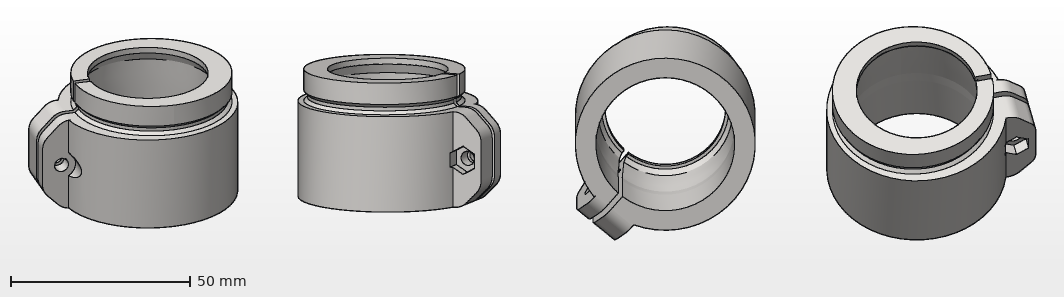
import cadquery as cq

body_diameter = 50.2
body_radius = body_diameter / 2
body_height = 27.1
total_height = 36.1
overall_length = 57.25

collar_offset = 1.05
collar_radius = 22.5
collar_bottom = 30.0
neck_radius = 21.5
neck_top = 29.05
neck_bottom = 28.0

lip_radius = 16.85
lip_bottom = 34.35
undercut_bottom = 31.6
undercut_top_radius = 17.75
undercut_bottom_radius = 18.8
socket_bottom = 18.3
socket_radius = 19.45
step_bottom = 15.0
lower_radius = 19.35

lug_left = -8.55
lug_right = 5.1
lug_front = body_radius - overall_length
lug_back = -lip_radius
lug_chamfer = 6.0
lug_fillet = 5.0
slit_width = 1.55

screw_y = -26.6
screw_z = body_height / 2
screw_hole_diameter = 4.0
nut_width = 6.9
nut_depth = 3.3
head_diameter = 8.15


def make_collar():
    """Revolved collar with a tapered groove under it."""
    profile = [
        (0, 0),
        (collar_radius, 0),
        (collar_radius, body_height),
        (neck_radius, neck_bottom),
        (neck_radius, neck_top),
        (collar_radius, collar_bottom),
        (collar_radius, total_height),
        (0, total_height),
    ]
    collar = cq.Workplane("XZ").polyline(profile).close().revolve()
    return collar.translate((0, collar_offset, 0))


def make_lug_block():
    """Square block filling the full width of both lugs."""
    width = lug_right - lug_left
    return (
        cq.Workplane("XY", origin=(lug_left, lug_front, 0))
        .box(width, lug_back - lug_front, body_height, centered=False)
    )


def make_lugs():
    """Lug block with its outer corners chamfered, then rounded."""
    block = make_lug_block().faces("<Y").edges("|X").chamfer(lug_chamfer)
    front_face_edges = block.faces("<Y").edges("|X")
    slope_end_edges = block.faces(">Z or <Z").edges("|X").edges("<Y")
    return front_face_edges.add(slope_end_edges).fillet(lug_fillet)


def make_bore():
    """Stepped bore revolved about the body axis."""
    profile = [
        (0, 0),
        (lower_radius, 0),
        (lower_radius, step_bottom),
        (socket_radius, socket_bottom),
        (undercut_bottom_radius, undercut_bottom),
        (undercut_top_radius, lip_bottom),
        (lip_radius, lip_bottom),
        (lip_radius, total_height),
        (0, total_height),
    ]
    return cq.Workplane("XZ").polyline(profile).close().revolve()


def make_slit():
    return (
        cq.Workplane("XY", origin=(0, lug_front / 2, 0))
        .rect(slit_width, -lug_front)
        .extrude(total_height)
    )


def screw_plane(x):
    """Plane facing +X, centred on the clamp screw axis."""
    return cq.Workplane("YZ", origin=(x, screw_y, screw_z))


def make_screw_cuts():
    """Through hole, hexagonal nut pocket on -X and head clearance on +X."""
    hole = screw_plane(-body_radius).circle(screw_hole_diameter / 2).extrude(body_diameter)
    nut_length = body_radius + lug_left + nut_depth
    nut = (
        screw_plane(-body_radius)
        .polygon(6, nut_width, circumscribed=True)
        .extrude(nut_length)
    )
    head = screw_plane(lug_right).circle(head_diameter / 2).extrude(body_radius - lug_right)
    return hole.union(nut).union(head)


body = cq.Workplane("XY").circle(body_radius).extrude(body_height)
body = body.cut(make_lug_block()).union(make_lugs())
clamp = body.union(make_collar())
result = clamp.cut(make_bore()).cut(make_slit()).cut(make_screw_cuts())